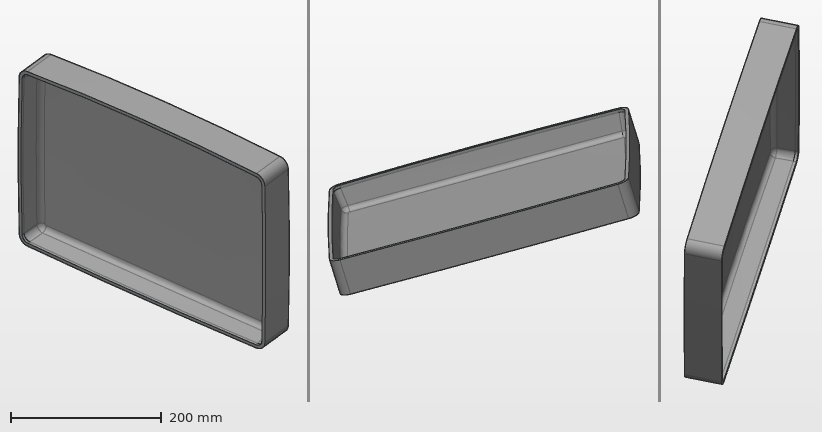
import cadquery as cq

WIDTH = 416.5
DEPTH = 51.0
HEIGHT = 289.5

SIDE_BULGE = 2.0
TOP_BULGE = 6.2
BOTTOM_BULGE = 2.5
CORNER_RADIUS = 15.0

RIM_WIDTH = 5.0
RIM_LAND = 4.0
CAVITY_DEPTH = 38.5
FLOOR_RADIUS = 8329.0
SIDE_DRAFT = 4.0
TOP_DRAFT = 7.0
BOTTOM_DRAFT = 3.7
CAVITY_CORNER_RADIUS = CORNER_RADIUS - RIM_WIDTH
FLOOR_FILLET = 8.5


def bulged_outline(y, side_inset=0, top_inset=0, bottom_inset=0):
    """Sharp-cornered outline of four shallow arcs, lying in the XZ plane at y."""
    half_width = WIDTH / 2 - side_inset
    top = HEIGHT / 2 - top_inset
    bottom = -HEIGHT / 2 + bottom_inset
    corner_x = half_width - SIDE_BULGE
    corner_top = top - TOP_BULGE
    corner_bottom = bottom + BOTTOM_BULGE
    middle = (corner_top + corner_bottom) / 2
    return (
        cq.Workplane("XZ", origin=(0, y, 0))
        .moveTo(-corner_x, corner_bottom)
        .threePointArc((0, bottom), (corner_x, corner_bottom))
        .threePointArc((half_width, middle), (corner_x, corner_top))
        .threePointArc((0, top), (-corner_x, corner_top))
        .threePointArc((-half_width, middle), (-corner_x, corner_bottom))
        .close()
    )


def make_body():
    """Solid block with bulged sides and rounded corners."""
    block = bulged_outline(DEPTH / 2).extrude(DEPTH)
    return block.edges("|Y").fillet(CORNER_RADIUS)


def make_cavity():
    """Pocket with a straight land, drafted walls and a dished floor with a rounded edge."""
    rim_y = -DEPTH / 2
    land_y = rim_y + RIM_LAND
    floor_y = rim_y + CAVITY_DEPTH
    land_outline = bulged_outline(land_y, RIM_WIDTH, RIM_WIDTH, RIM_WIDTH)
    floor_outline = bulged_outline(
        floor_y,
        RIM_WIDTH + SIDE_DRAFT,
        RIM_WIDTH + TOP_DRAFT,
        RIM_WIDTH + BOTTOM_DRAFT,
    )

    drafted_solid = cq.Solid.makeLoft([land_outline.wire().val(), floor_outline.wire().val()], True)
    drafted = cq.Workplane(drafted_solid).edges("not(<Y or >Y)").fillet(CAVITY_CORNER_RADIUS)
    floor_ball = cq.Workplane("XY").sphere(FLOOR_RADIUS).translate((0, floor_y - FLOOR_RADIUS, 0))
    dished = drafted.intersect(floor_ball).faces(">Y").edges().fillet(FLOOR_FILLET)

    land = land_outline.extrude(RIM_LAND).edges("|Y").fillet(CAVITY_CORNER_RADIUS)
    return dished.union(land)


result = make_body().cut(make_cavity())